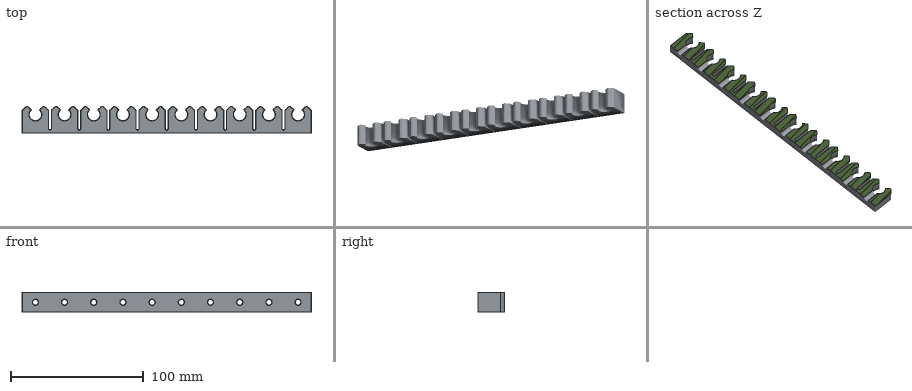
import cadquery as cq
import math

rail_length = 218.0
rail_depth = 20.0
rail_height = 15.0
clip_count = 10

slot_width = 2.0
slot_tip_y = 2.0

seat_diameter = 9.4
seat_center_y = 14.0
throat_half_width = 3.0

tip_flat = 1.0
outer_chamfer = 3.0

hole_diameter = 4.4

seat_radius = seat_diameter / 2
clip_width = (rail_length - (clip_count - 1) * slot_width) / clip_count
clip_half_width = clip_width / 2
clip_pitch = clip_width + slot_width
clip_centers = [(i - (clip_count - 1) / 2) * clip_pitch for i in range(clip_count)]

shoulder_y = rail_depth - outer_chamfer
tip_outer_offset = clip_half_width - outer_chamfer
tip_inner_offset = tip_outer_offset - tip_flat

throat_y = seat_center_y + math.sqrt(seat_radius**2 - throat_half_width**2)


def add_clip(outline, center_x):
    """Trace one clip from its left shoulder, around the seat, to its right shoulder."""
    return (
        outline.lineTo(center_x - clip_half_width, shoulder_y)
        .lineTo(center_x - tip_outer_offset, rail_depth)
        .lineTo(center_x - tip_inner_offset, rail_depth)
        .lineTo(center_x - throat_half_width, throat_y)
        .threePointArc(
            (center_x, seat_center_y - seat_radius),
            (center_x + throat_half_width, throat_y),
        )
        .lineTo(center_x + tip_inner_offset, rail_depth)
        .lineTo(center_x + tip_outer_offset, rail_depth)
        .lineTo(center_x + clip_half_width, shoulder_y)
    )


def add_slot(outline, center_x):
    """Trace one slot down from a right shoulder and through its V-shaped floor."""
    half_width = slot_width / 2
    wall_end_y = slot_tip_y + half_width
    return (
        outline.lineTo(center_x - half_width, wall_end_y)
        .lineTo(center_x, slot_tip_y)
        .lineTo(center_x + half_width, wall_end_y)
    )


outline = cq.Workplane("XY").moveTo(-rail_length / 2, 0)
for center_x in clip_centers[:-1]:
    outline = add_clip(outline, center_x)
    outline = add_slot(outline, center_x + clip_pitch / 2)
outline = add_clip(outline, clip_centers[-1]).lineTo(rail_length / 2, 0).close()
body = outline.extrude(rail_height)

holes = (
    cq.Workplane("XZ")
    .pushPoints([(center_x, rail_height / 2) for center_x in clip_centers])
    .circle(hole_diameter / 2)
    .extrude(-seat_center_y)
)

result = body.cut(holes)